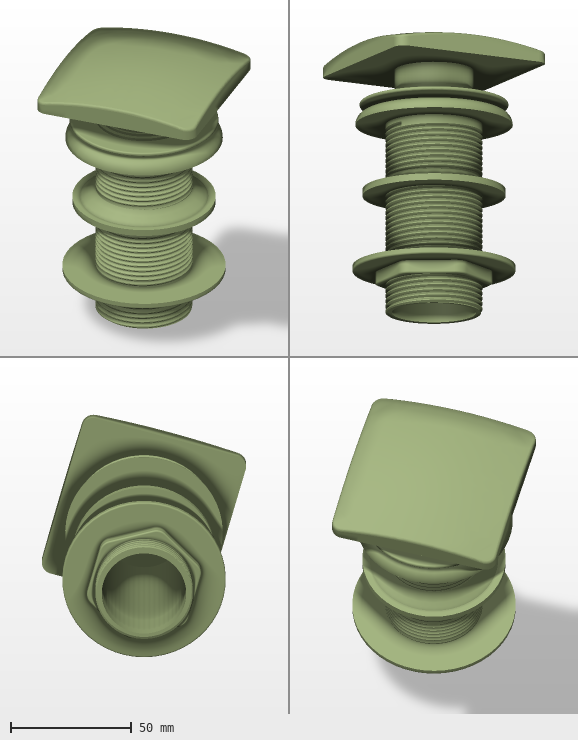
import cadquery as cq
import math

total_height = 115.2

cap_width = 70.4
cap_bottom = 103.0
cap_corner_radius = 4.7
cap_dome_rise = 4.0
cap_edge_fillet = 1.2
cap_trim_allowance = 1.2

stem_diameter = 32.8
collar_diameter = 35.0
collar_top = 93.6
lip_diameter = 36.8
lip_top = 91.6

tube_diameter = 40.3
tube_bore = collar_diameter
tube_top = 90.5
rim_diameter = 61.8
rim_top = 89.3
rim_edge_bottom = 87.8
rim_root_bottom = 86.8
rim_fillet = 0.7

thread_pitch = 2.21
thread_depth = 1.2
groove_mouth = 1.8
groove_floor = 0.3
groove_overshoot = 0.1
thread_cut_tolerance = 0.001
thread_end_height = 77.1
thread_end_angle = 200.0

gasket_diameter = 65.3
gasket_top = 85.1
gasket_bottom = 79.8

seal_diameter = 59.5
seal_cone_base = 53.3
seal_cone_top = 40.5
seal_top = 56.8
seal_flange_top = 52.4
seal_bottom = 49.7

nut_flange_diameter = 67.7
nut_flange_top = 19.8
nut_flange_bottom = 17.4
nut_bottom = 12.0
nut_across_flats = 43.3
nut_corner_radius = 5.3
nut_fillet = 0.7
nut_sides = 6


def cylinder(diameter, bottom, top):
    """Round bar on the Z axis between two heights."""
    return cq.Workplane("XY", origin=(0, 0, bottom)).circle(diameter / 2).extrude(top - bottom)


def make_cap():
    """Rounded square plate under a spherical dome, with its top edge rounded."""
    half_width = cap_width / 2
    dome_radius = (half_width**2 + cap_dome_rise**2) / (2 * cap_dome_rise)
    block = (
        cq.Workplane("XY", origin=(0, 0, cap_bottom))
        .rect(cap_width, cap_width)
        .extrude(total_height + cap_trim_allowance - cap_bottom)
        .edges("|Z")
        .fillet(cap_corner_radius)
    )
    dome = cq.Workplane("XY", origin=(0, 0, total_height - dome_radius)).sphere(dome_radius)
    return block.intersect(dome).faces(">Z").edges().fillet(cap_edge_fillet)


def make_stem():
    """Plain plug stem, running from the cap down through the collar."""
    return cylinder(stem_diameter, rim_root_bottom, cap_bottom)


def make_collar():
    """Sleeve in the mouth of the tube, with a lip that rests on the tube end."""
    sleeve = cylinder(collar_diameter, rim_root_bottom, collar_top)
    lip = cylinder(lip_diameter, tube_top, lip_top)
    return sleeve.union(lip).cut(cylinder(stem_diameter, rim_root_bottom, collar_top))


def make_thread_groove():
    """Helical cutter with a tapered section; it starts below the tube and ends square."""
    turns = math.ceil(thread_end_height / thread_pitch) + 1
    helix_height = turns * thread_pitch
    surface_radius = tube_diameter / 2
    root_radius = surface_radius - thread_depth
    outside_radius = surface_radius + groove_overshoot
    flank_slope = (groove_mouth - groove_floor) / 2 / thread_depth
    outside_half_width = groove_mouth / 2 + flank_slope * groove_overshoot
    helix = cq.Wire.makeHelix(thread_pitch, helix_height, surface_radius)
    section = (
        cq.Workplane("XZ")
        .moveTo(root_radius, -groove_floor / 2)
        .lineTo(outside_radius, -outside_half_width)
        .lineTo(outside_radius, outside_half_width)
        .lineTo(root_radius, groove_floor / 2)
        .close()
    )
    groove = section.sweep(cq.Workplane(helix), isFrenet=True)
    return groove.rotate((0, 0, 0), (0, 0, 1), thread_end_angle).translate(
        (0, 0, thread_end_height - helix_height)
    )


def make_rim():
    """Thin disc with a slightly conical underside and a rounded outer edge."""
    return (
        cq.Workplane("XZ")
        .moveTo(0, rim_root_bottom)
        .lineTo(tube_diameter / 2, rim_root_bottom)
        .lineTo(rim_diameter / 2, rim_edge_bottom)
        .lineTo(rim_diameter / 2, rim_top)
        .lineTo(0, rim_top)
        .close()
        .revolve(360, (0, 0), (0, 1))
        .edges(cq.selectors.RadiusNthSelector(-1))
        .fillet(rim_fillet)
    )


def make_tube():
    """Threaded tube with a thin rim flange near its top and a through bore."""
    barrel = cylinder(tube_diameter, 0, tube_top).union(make_rim())
    tube = barrel.cut(cylinder(tube_bore, 0, tube_top))
    return tube.cut(make_thread_groove(), clean=False, tol=thread_cut_tolerance)


def make_gasket():
    """Ring around the tube with a fully rounded upper edge."""
    height = gasket_top - gasket_bottom
    outer_radius = gasket_diameter / 2
    arc_offset = height * math.sqrt(0.5)
    return (
        cq.Workplane("XZ")
        .moveTo(tube_diameter / 2, gasket_bottom)
        .lineTo(outer_radius, gasket_bottom)
        .threePointArc(
            (outer_radius - height + arc_offset, gasket_bottom + arc_offset),
            (outer_radius - height, gasket_top),
        )
        .lineTo(tube_diameter / 2, gasket_top)
        .close()
        .revolve(360, (0, 0), (0, 1))
    )


def make_seal():
    """Flat ring with a cone above it that narrows to the tube."""
    return (
        cq.Workplane("XZ")
        .moveTo(tube_diameter / 2, seal_bottom)
        .lineTo(seal_diameter / 2, seal_bottom)
        .lineTo(seal_diameter / 2, seal_flange_top)
        .lineTo(seal_cone_base / 2, seal_flange_top)
        .lineTo(seal_cone_top / 2, seal_top)
        .lineTo(tube_diameter / 2, seal_top)
        .close()
        .revolve(360, (0, 0), (0, 1))
    )


def make_nut():
    """Hexagon nut, flats facing +X and -X, with a round flange on its upper side."""
    half_side_angle = 180 / nut_sides
    across_corners = nut_across_flats / math.cos(math.radians(half_side_angle))
    hexagon = (
        cq.Workplane("XY", origin=(0, 0, nut_bottom))
        .transformed(rotate=(0, 0, half_side_angle))
        .polygon(nut_sides, across_corners)
        .extrude(nut_flange_top - nut_bottom)
        .edges("|Z")
        .fillet(nut_corner_radius)
        .faces("<Z")
        .edges()
        .fillet(nut_fillet)
    )
    flange = cylinder(nut_flange_diameter, nut_flange_bottom, nut_flange_top)
    flange = flange.faces("<Z").edges().fillet(nut_fillet)
    return hexagon.union(flange).cut(cylinder(tube_diameter, nut_bottom, nut_flange_top))


cap = make_cap()
stem = make_stem()
collar = make_collar()
tube = make_tube()
gasket = make_gasket()
seal = make_seal()
nut = make_nut()

bodies = [cap, stem, collar, tube, gasket, seal, nut]
result = cq.Compound.makeCompound([body.solids().val() for body in bodies])